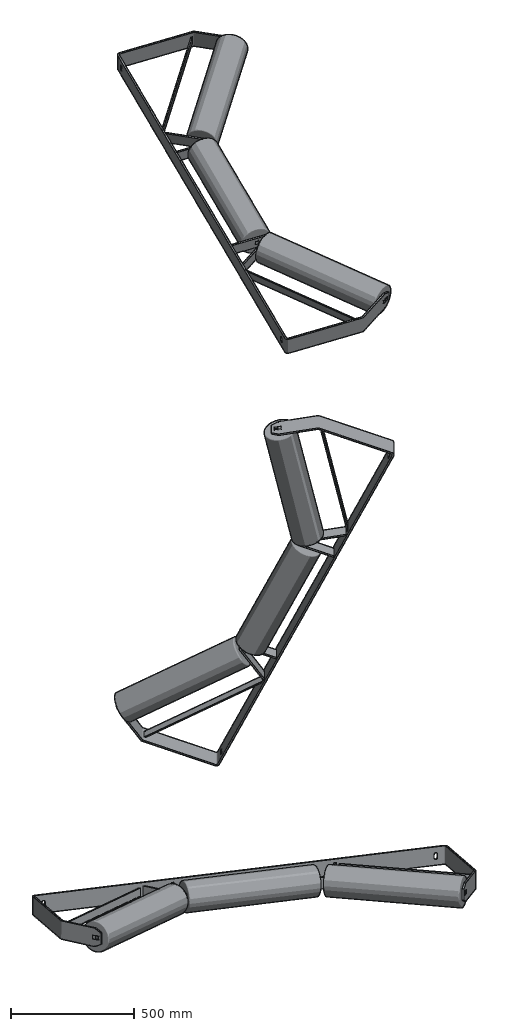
import cadquery as cq
import math

plate = 8.0
bar_height = 80.0
bracket_height = 50.0

length = 1800.0
upright_height = 340.0
corner_radius = 15.0
bend_radius = 10.0
tilt = 35.0
mount_x = 851.0
mount_width = 15.0
mount_height = 29.0

roller_diameter = 133.0
roller_length = 572.0
rim_fillet = 5.0
end_gap = 2.0
shaft_flats = 16.0
shaft_width = 15.0

middle_axis_y = 125.0
arm_to_axis = 162.0
arm_tip = 35.0
tip_chamfer_length = 30.0
tip_chamfer_side = 16.0
arm_slot = 29.0
bracket_top = 164.0

strut_thickness = 6.0
strut_height = 36.0
strut_drop = 9.0

sin_t = math.sin(math.radians(tilt))
cos_t = math.cos(math.radians(tilt))
tan_t = math.tan(math.radians(tilt))
half_length = length / 2
plate_spacing = roller_length + 2 * end_gap
shaft_length = plate_spacing + 2 * plate
arm_length = arm_to_axis + arm_tip
bend = cq.Vector(half_length, upright_height, 0)
up_arm = cq.Vector(-sin_t, cos_t, 0)
inward = cq.Vector(-cos_t, -sin_t, 0)
outer_center = bend + up_arm * arm_to_axis + inward * (plate + plate_spacing / 2)
arm_face = cq.Plane(origin=bend.toTuple(), xDir=up_arm.toTuple(), normal=inward.toTuple())


def bar(points, height=bar_height):
    """Flat bar with the given XY outline, centred on Z = 0."""
    return cq.Workplane("XY").polyline(points).close().extrude(height / 2, both=True)


def both_sides(body):
    """The right-hand body and its mirror image on the left."""
    return [body.val(), body.mirror("YZ").val()]


def frame_face(inset):
    """Edge-on line of the bent bar, from the right arm tip to the left one, moved inwards by inset."""
    x = half_length - inset
    bend_y = upright_height - inset * math.tan(math.radians(tilt / 2))
    tip = bend + up_arm * arm_length + inward * inset
    right = [(tip.x, tip.y), (x, bend_y), (x, inset)]
    left = [(-px, py) for px, py in reversed(right)]
    return right + left


def round_bends(body, inset):
    """Round the four bends of one face of the frame bar."""
    outside_radii = [bend_radius, corner_radius, corner_radius, bend_radius]
    for (x, y), radius in zip(frame_face(inset)[1:-1], outside_radii):
        bend_edge = cq.selectors.NearestToPointSelector((x, y, 0))
        body = body.edges(bend_edge).fillet(radius - inset)
    return body


def cut_arm(frame):
    """Chamfer the tip of the right arm and cut its shaft slot, with the shaft seated at the lower end."""
    side = bar_height / 2
    for sign in (-1, 1):
        corner = [
            (arm_length, sign * side),
            (arm_length - tip_chamfer_length, sign * side),
            (arm_length, sign * (side - tip_chamfer_side)),
        ]
        frame = frame.cut(cq.Workplane(arm_face).polyline(corner).close().extrude(plate))
    slot_center = arm_to_axis + (arm_slot - shaft_width) / 2
    slot = cq.Workplane(arm_face).center(slot_center, 0)
    return frame.cut(slot.rect(arm_slot, shaft_flats).extrude(plate))


def make_frame():
    """One bent bar: base, two uprights and two inclined arms."""
    frame = bar(frame_face(0) + frame_face(plate)[::-1])
    frame = round_bends(frame, 0)
    frame = round_bends(frame, plate)
    frame = cut_arm(frame).mirror("YZ")
    frame = cut_arm(frame)
    mounts = (
        cq.Workplane("XZ")
        .pushPoints([(-mount_x, 0), (mount_x, 0)])
        .slot2D(mount_height, mount_width, 90)
        .extrude(-plate)
    )
    return frame.cut(mounts)


def make_shaft():
    """Shaft along X, centred on the origin."""
    return cq.Workplane("XY").box(shaft_length, shaft_width, shaft_flats)


def make_roller():
    """Roller with its shaft along X, centred on the origin."""
    drum = (
        cq.Workplane("YZ", origin=(-roller_length / 2, 0, 0))
        .circle(roller_diameter / 2)
        .extrude(roller_length)
        .faces("|X")
        .edges()
        .fillet(rim_fillet)
    )
    return drum.union(make_shaft())


def at_middle(body):
    return body.translate((0, middle_axis_y, 0))


def at_right(body):
    return body.rotate((0, 0, 0), (0, 0, 1), tilt).translate(outer_center.toTuple())


def make_bracket():
    """Right-hand inner bracket: a post and an inclined leg joined at the top, pierced by two shafts."""
    post_x = plate_spacing / 2
    leg = bend + inward * (plate + plate_spacing)

    def leg_x(y, depth):
        return leg.x - (y - leg.y) * tan_t - depth / cos_t

    inner_top = bracket_top - plate
    bracket = bar([
        (post_x, plate),
        (post_x, bracket_top),
        (leg_x(bracket_top, 0), bracket_top),
        (leg_x(plate, 0), plate),
        (leg_x(plate, plate), plate),
        (leg_x(inner_top, plate), inner_top),
        (post_x + plate, inner_top),
        (post_x + plate, plate),
    ], bracket_height)
    return bracket.cut(at_middle(make_shaft())).cut(at_right(make_shaft()))


def make_strut():
    """Right-hand strut from the base to the upright, parallel to the outer roller."""
    wall_x = half_length - plate
    top_y = upright_height - strut_drop
    low_y = top_y - strut_thickness / cos_t
    return bar([
        (wall_x, top_y),
        (wall_x - (top_y - plate) / tan_t, plate),
        (wall_x - (low_y - plate) / tan_t, plate),
        (wall_x, low_y),
    ], strut_height)


frame = make_frame()
brackets = both_sides(make_bracket())
struts = both_sides(make_strut())
middle_roller = at_middle(make_roller())
outer_rollers = both_sides(at_right(make_roller()))

result = cq.Compound.makeCompound(
    [frame.val(), *brackets, *struts, middle_roller.val(), *outer_rollers]
)